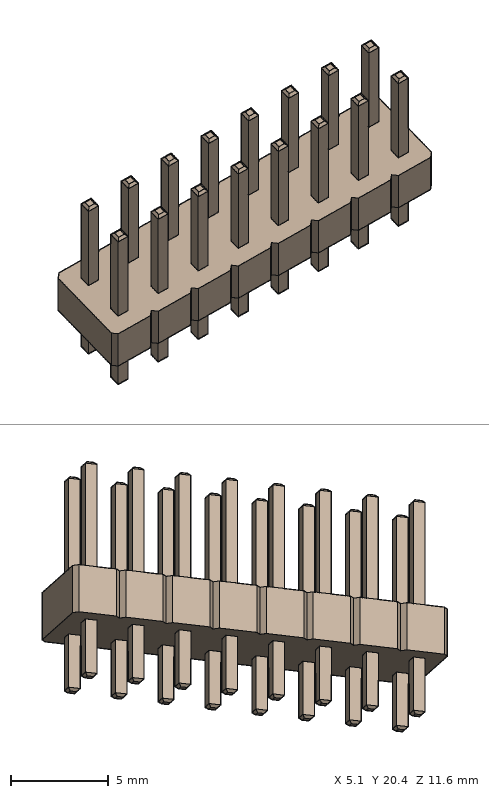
import cadquery as cq

columns = 2
rows = 8
pitch = 2.55

body_width = columns * pitch
body_height = pitch
corner_cut = pitch / 10

pin_width = pitch / 4
pin_above_body = 6.0
pin_below_body = 3.0
pin_length = pin_below_body + body_height + pin_above_body
tip_chamfer = 0.15


def make_row_block():
    """One row of the body; its cut corners form V notches against the next row."""
    return (
        cq.Workplane("XY")
        .box(body_width, pitch, body_height, centered=(True, True, False))
        .edges("|Z")
        .chamfer(corner_cut)
    )


def make_pin():
    """Square pin with both ends chamfered all round."""
    return (
        cq.Workplane("XY")
        .box(pin_width, pin_width, pin_length, centered=(True, True, False))
        .faces("<Z or >Z")
        .edges()
        .chamfer(tip_chamfer)
        .translate((0, 0, -pin_below_body))
    )


def centered_positions(count):
    """Positions one pitch apart, centred on zero."""
    return [(index - (count - 1) / 2) * pitch for index in range(count)]


row_block = make_row_block()
pin = make_pin()

result = cq.Workplane("XY")
for y in centered_positions(rows):
    result = result.union(row_block.translate((0, y, 0)))
for y in centered_positions(rows):
    for x in centered_positions(columns):
        result = result.union(pin.translate((x, y, 0)))